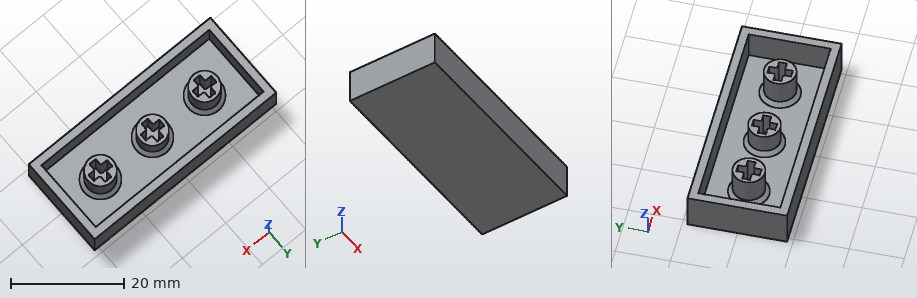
import cadquery as cq

length = 41.86
width = 18.05
height = 6.9
wall_thickness = 1.6
floor_thickness = 1.4

stem_count = 3
stem_pitch = 12.0
stem_diameter = 5.8
end_stem_top = height
middle_stem_drop = 1.0
middle_stem_top = height - middle_stem_drop
base_flare = 0.8
socket_span = 4.25
socket_slot = 1.42
socket_corner_radius = 0.3


def make_tray():
    """Rectangular tray, open at the top."""
    block = cq.Workplane("XY").box(length, width, height, centered=(True, True, False))
    cavity = (
        cq.Workplane("XY", origin=(0, 0, floor_thickness))
        .rect(length - 2 * wall_thickness, width - 2 * wall_thickness)
        .extrude(height - floor_thickness)
    )
    return block.cut(cavity)


def make_stem(stem_top):
    """Round stem with a conical flare at its foot, turned about Z."""
    radius = stem_diameter / 2
    return (
        cq.Workplane("XZ")
        .moveTo(0, 0)
        .lineTo(radius + base_flare, 0)
        .lineTo(radius + base_flare, floor_thickness)
        .lineTo(radius, floor_thickness + base_flare)
        .lineTo(radius, stem_top)
        .lineTo(0, stem_top)
        .close()
        .revolve(360, (0, 0, 0), (0, 1, 0))
    )


def make_socket(stem_top):
    """Cross-shaped socket, rounded at its inner corners, from the stem top to the tray floor."""
    depth = stem_top - floor_thickness
    base = cq.Workplane("XY", origin=(0, 0, floor_thickness))
    along_x = base.rect(socket_span, socket_slot).extrude(depth)
    along_y = base.rect(socket_slot, socket_span).extrude(depth)
    inner_corners = cq.selectors.BoxSelector(
        (-socket_slot, -socket_slot, floor_thickness),
        (socket_slot, socket_slot, stem_top),
    )
    return along_x.union(along_y).edges("|Z").edges(inner_corners).fillet(socket_corner_radius)


result = make_tray()
middle_index = (stem_count - 1) / 2
for index in range(stem_count):
    stem_x = (index - middle_index) * stem_pitch
    top = middle_stem_top if index == middle_index else end_stem_top
    result = result.union(make_stem(top).translate((stem_x, 0, 0)))
    result = result.cut(make_socket(top).translate((stem_x, 0, 0)))